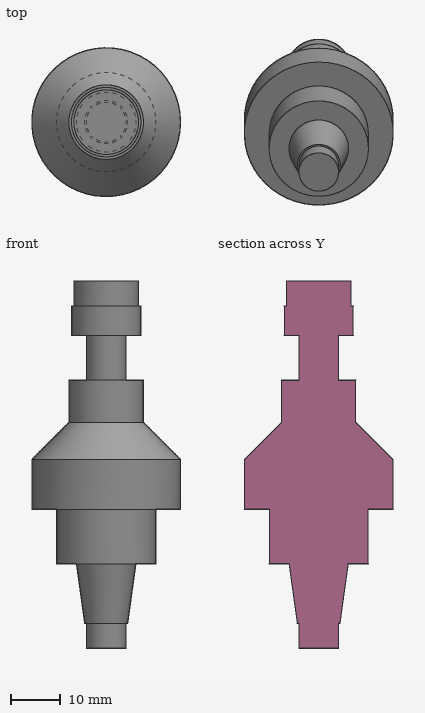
import cadquery as cq

tip_dia = 8.0
taper_small_dia = 8.65
taper_large_dia = 12.0
shank_dia = 20.0
flange_dia = 30.0
neck_dia = 15.0
stem_dia = 8.0
collar_dia = 14.0
cap_dia = 13.0

tip_top = 5.0
taper_top = 17.0
shank_top = 28.0
flange_top = 38.0
shoulder_top = 45.5
neck_top = 54.0
stem_top = 63.0
collar_top = 69.0
cap_top = 74.0

sections = [
    (tip_dia, tip_dia, tip_top),
    (taper_small_dia, taper_large_dia, taper_top),
    (shank_dia, shank_dia, shank_top),
    (flange_dia, flange_dia, flange_top),
    (flange_dia, neck_dia, shoulder_top),
    (neck_dia, neck_dia, neck_top),
    (stem_dia, stem_dia, stem_top),
    (collar_dia, collar_dia, collar_top),
    (cap_dia, cap_dia, cap_top),
]


def half_profile(sections):
    """Stepped outline on the XZ plane, from the axis outward and back to it."""
    points = [(0, 0)]
    bottom = 0
    for bottom_dia, top_dia, top in sections:
        for point in [(bottom_dia / 2, bottom), (top_dia / 2, top)]:
            if point != points[-1]:
                points.append(point)
        bottom = top
    points.append((0, bottom))
    return cq.Workplane("XZ").polyline(points).close()


result = half_profile(sections).revolve(360, (0, 0, 0), (0, 1, 0))